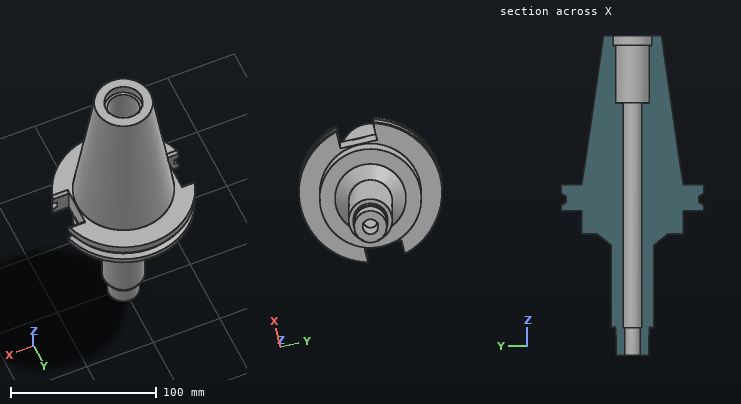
import cadquery as cq
import math

total_height = 219.8
tip_height = 13.5
collar_top = 19.1
shank_top = 75.6
neck_top = 83.3
flange_bottom = 99.3
flange_top = 117.4
taper_base = 118.5

tip_radius = 11.2
collar_radius = 11.9
shank_radius = 15.0
neck_radius = 24.5
body_radius = 35.0
flange_radius = 49.2
taper_ratio = 7 / 24
taper_top_radius = body_radius - (total_height - taper_base) * taper_ratio / 2

groove_floor_radius = 46.0
groove_middle = 107.3
groove_mouth_width = 7.7
groove_flank_height = (flange_radius - groove_floor_radius) * math.tan(math.radians(30))
groove_lower_edge = groove_middle - groove_mouth_width / 2
groove_upper_edge = groove_middle + groove_mouth_width / 2

slot_width = 26.0
slot_floor_left = 37.5
slot_floor_right = 35.4
slot_chamfer_width = 2.0
slot_chamfer_height = 2.0

through_radius = 5.3
clearance_radius = 6.2
clearance_depth = total_height - collar_top
bore_radius = 11.2
bore_depth = 46.2
counterbore_radius = 13.2
counterbore_depth = 6.5


def make_body():
    """Revolve the half profile of the holder around Z."""
    profile = [
        (0, 0),
        (tip_radius, 0),
        (tip_radius, tip_height),
        (collar_radius, tip_height),
        (collar_radius, collar_top),
        (shank_radius, collar_top),
        (shank_radius, shank_top),
        (neck_radius, neck_top),
        (body_radius, neck_top),
        (body_radius, flange_bottom),
        (flange_radius, flange_bottom),
        (flange_radius, groove_lower_edge),
        (groove_floor_radius, groove_lower_edge + groove_flank_height),
        (groove_floor_radius, groove_upper_edge - groove_flank_height),
        (flange_radius, groove_upper_edge),
        (flange_radius, flange_top),
        (body_radius, flange_top),
        (body_radius, taper_base),
        (taper_top_radius, total_height),
        (0, total_height),
    ]
    return cq.Workplane("XZ").polyline(profile).close().revolve(360, (0, 0), (0, 1))


def make_slot(side, floor_distance):
    """Cutter for a drive slot on the +X (side 1) or -X (side -1) flange edge."""
    half_width = slot_width / 2
    mouth_half_width = half_width + slot_chamfer_width
    chamfer_start = flange_top - slot_chamfer_height
    section = [
        (-half_width, flange_bottom),
        (half_width, flange_bottom),
        (half_width, chamfer_start),
        (mouth_half_width, flange_top),
        (-mouth_half_width, flange_top),
        (-half_width, chamfer_start),
    ]
    return (
        cq.Workplane("YZ", origin=(side * floor_distance, 0, 0))
        .polyline(section)
        .close()
        .extrude(side * flange_radius)
    )


def make_bore(radius, depth):
    """Cylinder cutter sunk from the small end of the taper."""
    return cq.Workplane("XY", origin=(0, 0, total_height - depth)).circle(radius).extrude(depth)


result = make_body()

for side, floor_distance in ((-1, slot_floor_left), (1, slot_floor_right)):
    result = result.cut(make_slot(side, floor_distance))

for radius, depth in (
    (through_radius, total_height),
    (clearance_radius, clearance_depth),
    (bore_radius, bore_depth),
    (counterbore_radius, counterbore_depth),
):
    result = result.cut(make_bore(radius, depth))